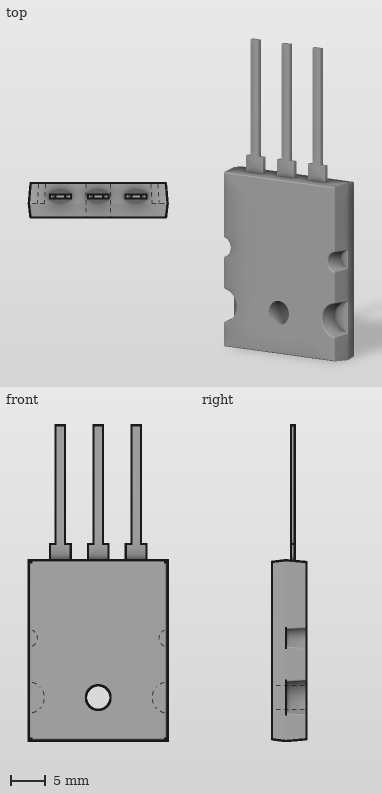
import cadquery as cq
import math

body_width = 20.0
body_height = 26.0
front_depth = 2.0
back_depth = 3.0
front_draft = 7.0
back_draft = 5.0
rim_radius = 0.2

hole_diameter = 3.5
hole_height = 6.25
hole_mouth_radius = 0.25

notches = [(hole_height, 4.9), (14.8, 2.9)]
notch_draft = 4.0

total_height = 45.4
lead_pitch = 5.45
lead_width = 1.4
lead_thickness = 0.6
lead_front = 0.73
shoulder_width = 3.0
shoulder_height = 2.3
lead_embed = 2.25


def body_half(depth, draft):
    """Half of the body, narrowing away from the parting plane; positive depth runs toward -Y."""
    return (
        cq.Workplane("XZ")
        .center(0, body_height / 2)
        .rect(body_width, body_height)
        .extrude(depth, taper=draft)
    )


def notch(side, height, back_diameter):
    """Conical notch centred on one side of the body, narrowing toward the parting plane."""
    parting_diameter = back_diameter - 2 * back_depth * math.tan(math.radians(notch_draft))
    return (
        cq.Workplane("XZ")
        .center(side * body_width / 2, height)
        .circle(parting_diameter / 2)
        .workplane(offset=-back_depth)
        .circle(back_diameter / 2)
        .loft(ruled=True)
    )


def make_back_half():
    """Back half with notches on both sides; the back rim and the notch edges are rounded."""
    half = body_half(-back_depth, back_draft)
    for height, diameter in notches:
        for side in (-1, 1):
            half = half.cut(notch(side, height, diameter))

    notch_edges = cq.selectors.BoxSelector(
        (-body_width, rim_radius, rim_radius),
        (body_width, back_depth - rim_radius, body_height - rim_radius),
    )
    rim_edges = half.faces(">Y").edges()
    return half.edges(notch_edges).add(rim_edges).fillet(rim_radius)


def make_front_half():
    """Front half with a rounded front rim."""
    return body_half(front_depth, front_draft).faces("<Y").edges().fillet(rim_radius)


def drill_mounting_hole(body):
    """Through hole along Y, rounded where it meets the front face."""
    drill = cq.Workplane("XZ", origin=(0, back_depth, hole_height))
    drill = drill.circle(hole_diameter / 2).extrude(front_depth + back_depth)
    return body.cut(drill).faces("<Y").edges("%CIRCLE").fillet(hole_mouth_radius)


def lead(x):
    """Flat pin with a wider shoulder next to the body, rooted inside the body."""
    pin_length = total_height - body_height + lead_embed
    shoulder_length = shoulder_height + lead_embed
    base = cq.Workplane("XY", origin=(x, lead_front, body_height - lead_embed))
    standing = (True, False, False)
    shoulder = base.box(shoulder_width, lead_thickness, shoulder_length, centered=standing)
    pin = base.box(lead_width, lead_thickness, pin_length, centered=standing)
    return shoulder.union(pin)


result = drill_mounting_hole(make_front_half().union(make_back_half()))
for position in (-1, 0, 1):
    result = result.union(lead(position * lead_pitch))